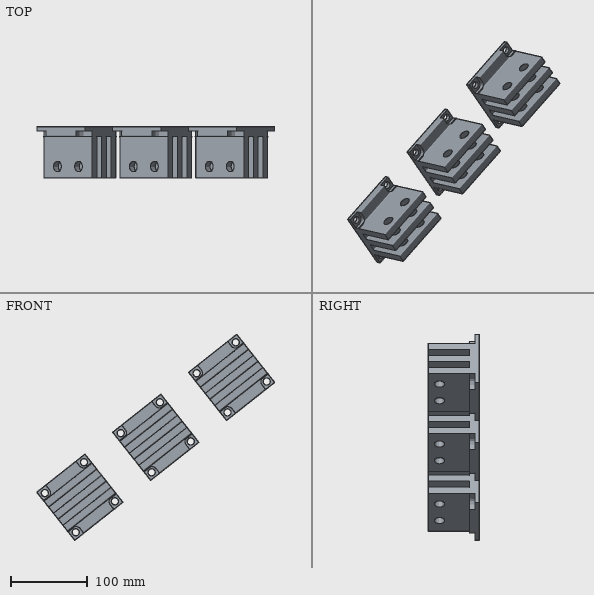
import cadquery as cq
import math

BLOCK_COUNT = 3
ROW_ANGLE = 38.295
ROW_PITCH = 126.0

PLATE_SIDE = 80.0
PLATE_THICKNESS = 13.0

FIN_COUNT = 3
FIN_THICKNESS = 10.0
FIN_GAP = 10.0
FIN_PITCH = FIN_THICKNESS + FIN_GAP
BLOCK_DEPTH = 67.0
EDGE_RADIUS = 1.0
FIN_PACK_WIDTH = FIN_COUNT * FIN_THICKNESS + (FIN_COUNT - 1) * FIN_GAP

SEAT_WIDTH = (PLATE_SIDE - FIN_PACK_WIDTH) / 2
SEAT_FLOOR = 6.0
MOUNT_HOLE_DIAMETER = 9.0
MOUNT_HOLE_OFFSET = PLATE_SIDE / 2 - SEAT_WIDTH / 2

CROSS_HOLE_DIAMETER = 13.0
CROSS_HOLE_SPACING = 35.0
CROSS_HOLE_FROM_TIP = 15.0


def finned_profile_bar():
    """Plate and fins with every long edge rounded."""
    centred = (True, True, False)
    bar = cq.Workplane("XY").box(PLATE_SIDE, PLATE_SIDE, PLATE_THICKNESS, centered=centred)
    for index in range(FIN_COUNT):
        fin_center = (index - (FIN_COUNT - 1) / 2) * FIN_PITCH
        fin = cq.Workplane("XY").box(PLATE_SIDE, FIN_THICKNESS, BLOCK_DEPTH, centered=centred)
        bar = bar.union(fin.translate((0, fin_center, 0)))
    return bar.clean().edges("|X").fillet(EDGE_RADIUS)


def corner_seat(x_side, y_side):
    """Cutter for one open corner pocket, rounded around its mounting hole."""
    corner = PLATE_SIDE / 2
    inner = corner - SEAT_WIDTH
    middle = MOUNT_HOLE_OFFSET
    bend = middle - SEAT_WIDTH / 2 * math.sqrt(0.5)
    points = [
        (corner, corner),
        (inner, corner),
        (inner, middle),
        (bend, bend),
        (middle, inner),
        (corner, inner),
    ]
    placed = [(x_side * x, y_side * y) for x, y in points]
    outline = (
        cq.Workplane("XY")
        .workplane(offset=SEAT_FLOOR)
        .moveTo(*placed[0])
        .lineTo(*placed[1])
        .lineTo(*placed[2])
        .threePointArc(placed[3], placed[4])
        .lineTo(*placed[5])
        .close()
    )
    return outline.extrude(PLATE_THICKNESS - SEAT_FLOOR)


def mounting_holes():
    spacing = 2 * MOUNT_HOLE_OFFSET
    centers = cq.Workplane("XY").rarray(spacing, spacing, 2, 2)
    return centers.circle(MOUNT_HOLE_DIAMETER / 2).extrude(PLATE_THICKNESS)


def cross_holes():
    height = BLOCK_DEPTH - CROSS_HOLE_FROM_TIP
    centers = [(side * CROSS_HOLE_SPACING / 2, height) for side in (-1, 1)]
    circles = cq.Workplane("XZ").pushPoints(centers).circle(CROSS_HOLE_DIAMETER / 2)
    return circles.extrude(FIN_PACK_WIDTH / 2, both=True)


def finned_block():
    block = finned_profile_bar()
    for x_side in (-1, 1):
        for y_side in (-1, 1):
            block = block.cut(corner_seat(x_side, y_side))
    return block.cut(mounting_holes()).cut(cross_holes())


def place_in_row(block, index):
    """Turn the fins toward -Y, tilt to the row angle and step along the row."""
    angle = math.radians(ROW_ANGLE)
    step = index * ROW_PITCH
    tilted = block.rotate((0, 0, 0), (1, 0, 0), 90).rotate((0, 0, 0), (0, 1, 0), -ROW_ANGLE)
    return tilted.translate((step * math.cos(angle), 0, step * math.sin(angle)))


finned_blocks = [place_in_row(finned_block(), index) for index in range(BLOCK_COUNT)]
result = cq.Compound.makeCompound([block.val() for block in finned_blocks])